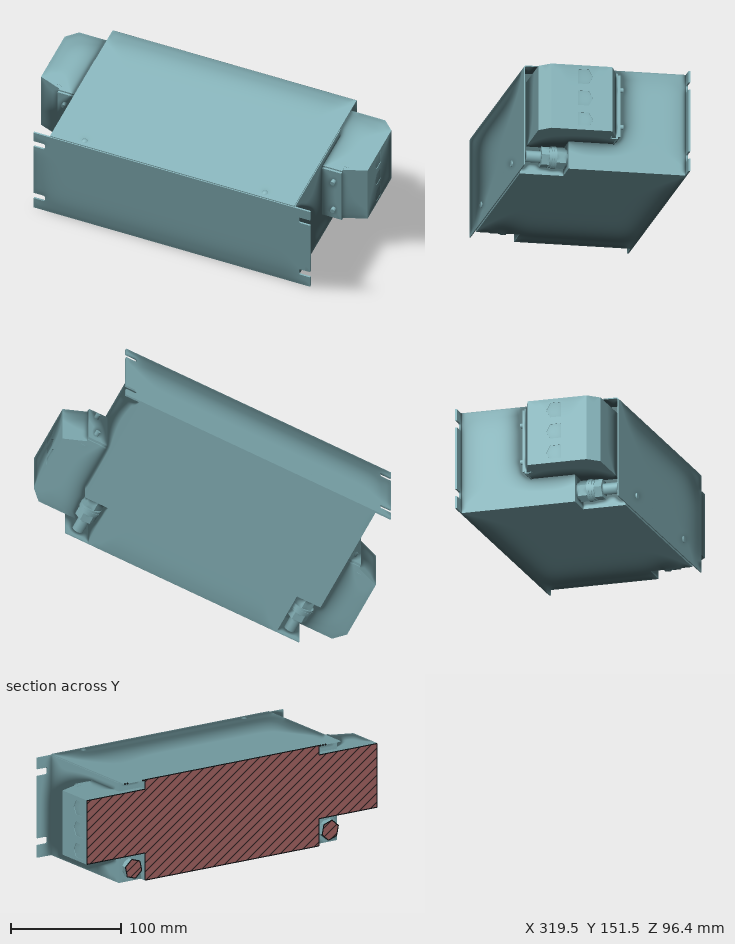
import cadquery as cq
import math


box_width = 240.0
box_height = 94.2
sheet = 1.0
depth = 150.3
cover_width = 238.6
cover_front = 0.9
cover_bend_radius = 2.0
cover_rear_bottom = 1.7
box_depth = depth - sheet
cover_top = box_height + sheet

plate_width = 270.4
plate_thickness = 1.6
slot_height = 6.6
slot_corner_radius = 1.5
slot_depth = 11.0
slot_heights = (15.0, 80.2)

recess_front = 109.2
recess_depth = 24.0
recess_wall_x = -box_width / 2 + recess_depth

outer_x = -319.5 / 2
block_count = 3
block_height = 20.2
block_bottom = 25.7
block_back = 143.4
block_back_chamfer = 10.0
block_front_corner = 77.2
block_front = 69.3
entry_depth = 0.5
entry_height = 13.6
entry_drop = 0.5
entry_back = 109.0
entry_shoulder = 98.8
entry_tip = 95.1
block_stack = block_count * block_height

rail_bottom = 25.0
rail_height = 61.6
rail_sheet = 0.9
rail_outer_x = -138.7
rail_lip_x = -142.7
rail_lip_back = 74.6
rail_front = 67.4
clamp_thickness = 2.0
clamp_margin = 1.2
clamp_front = rail_front - clamp_thickness
clamp_screw_diameter = 4.4
clamp_screw_length = 3.9
clamp_screw_x = -131.5
clamp_screw_heights = (38.5, 73.2)

stud_x = -box_width / 2 + recess_depth / 2
stud_z = 13.0
stud_diameter = 10.5
stud_end = 146.8
collar_diameter = 16.5
collar_length = 1.5
nut_across_flats = 16.7
inner_nut_length = 8.6
inner_nut_turn = 18.0
flat_washer_diameter = 20.6
flat_washer_thickness = 2.2
flat_washer_gap = 0.2
lock_washer_diameter = 18.8
lock_washer_thickness = 2.2
outer_nut_length = 7.2

screw_diameter = 5.8
screw_head_height = 1.17
top_screw_x = 88.2
top_screw_y = 7.0
rear_screw_x = 67.0
rear_screw_z = 17.3


def box(x_range, y_range, z_range):
    """Box between the given limits along each axis."""
    lows, highs = zip(x_range, y_range, z_range)
    sizes = [high - low for low, high in zip(lows, highs)]
    return cq.Workplane("XY").box(*sizes, centered=False).translate(lows)


def along_y(x, z, y_start):
    """Workplane facing +Y, with its origin at the given point."""
    return cq.Workplane(cq.Plane((x, y_start, z), (1, 0, 0), (0, 1, 0)))


def both_sides(shape):
    """The left-hand shape together with its mirror image."""
    return shape.union(shape.mirror("YZ"), clean=False)


def make_box():
    half = box_width / 2
    body = box((-half, half), (0, box_depth), (0, box_height))
    recess = box((-half, recess_wall_x), (recess_front, box_depth), (0, box_height))
    return body.cut(both_sides(recess))


def make_cover():
    half = cover_width / 2
    cover = box((-half, half), (cover_front, depth), (cover_rear_bottom, cover_top))
    cover = cover.edges(">Y and >Z").fillet(cover_bend_radius)
    inside = box((-half, half), (0, box_depth), (0, box_height))
    inside = inside.edges(">Y and >Z").fillet(cover_bend_radius - sheet)
    return cover.cut(inside)


def make_mounting_plate():
    half = plate_width / 2
    plate = box((-half, half), (0, plate_thickness), (0, box_height))
    for z in slot_heights:
        slot_z = (z - slot_height / 2, z + slot_height / 2)
        slot = box((-half, -half + slot_depth), (0, plate_thickness), slot_z)
        slot = slot.edges("|Y and >X").fillet(slot_corner_radius)
        plate = plate.cut(both_sides(slot))
    return plate


def make_terminal_block(bottom):
    outline = [
        (recess_wall_x, block_back),
        (outer_x + block_back_chamfer, block_back),
        (outer_x, block_back - block_back_chamfer),
        (outer_x, block_front_corner),
        (rail_outer_x, block_front),
        (rail_outer_x, rail_front),
        (recess_wall_x, rail_front),
    ]
    block = cq.Workplane("XY").workplane(offset=bottom).polyline(outline).close().extrude(block_height)
    middle = bottom + block_height / 2 - entry_drop
    low = middle - entry_height / 2
    high = middle + entry_height / 2
    entry_outline = [
        (entry_back, low),
        (entry_shoulder, low),
        (entry_tip, middle),
        (entry_shoulder, high),
        (entry_back, high),
    ]
    entry = cq.Workplane("YZ").workplane(offset=outer_x).polyline(entry_outline).close().extrude(entry_depth)
    return block.cut(entry)


def make_rail():
    inner_x = -box_width / 2
    outline = [
        (inner_x, rail_front),
        (rail_outer_x, rail_front),
        (rail_outer_x, rail_lip_back - rail_sheet),
        (rail_lip_x, rail_lip_back - rail_sheet),
        (rail_lip_x, rail_lip_back),
        (rail_outer_x + rail_sheet, rail_lip_back),
        (rail_outer_x + rail_sheet, rail_front + rail_sheet),
        (inner_x, rail_front + rail_sheet),
    ]
    rail = cq.Workplane("XY").workplane(offset=rail_bottom).polyline(outline).close().extrude(rail_height)
    clamp_z = (block_bottom + clamp_margin, block_bottom + block_stack - clamp_margin)
    rail = rail.union(box((rail_outer_x, inner_x), (clamp_front, rail_front), clamp_z))
    for z in clamp_screw_heights:
        screw = along_y(clamp_screw_x, z, clamp_front - clamp_screw_length)
        rail = rail.union(screw.circle(clamp_screw_diameter / 2).extrude(clamp_screw_length))
    return rail


def make_nut(y_start, length, turn):
    across_corners = nut_across_flats / math.cos(math.pi / 6)
    nut = along_y(stud_x, stud_z, y_start).polygon(6, across_corners).extrude(length)
    return nut.rotate((stud_x, 0, stud_z), (stud_x, 1, stud_z), turn)


def make_earth_stud():
    def disc(y_start, diameter, length):
        return along_y(stud_x, stud_z, y_start).circle(diameter / 2).extrude(length)

    stud = disc(recess_front, stud_diameter, stud_end - recess_front)
    stud = stud.union(disc(recess_front, collar_diameter, collar_length))
    y = recess_front + collar_length
    stud = stud.union(make_nut(y, inner_nut_length, inner_nut_turn))
    y += inner_nut_length
    washer_pair = 2 * flat_washer_thickness
    stud = stud.union(disc(y, lock_washer_diameter, washer_pair + lock_washer_thickness))
    washer_length = flat_washer_thickness - flat_washer_gap / 2
    stud = stud.union(disc(y, flat_washer_diameter, washer_length))
    stud = stud.union(disc(y + washer_pair - washer_length, flat_washer_diameter, washer_length))
    y += washer_pair + lock_washer_thickness
    return stud.union(make_nut(y, outer_nut_length, 0))


def make_domed_head():
    """Domed head standing on Z = 0."""
    radius = screw_diameter / 2
    sphere_radius = (radius**2 + screw_head_height**2) / (2 * screw_head_height)
    sphere = cq.Workplane("XY").sphere(sphere_radius)
    sphere = sphere.translate((0, 0, screw_head_height - sphere_radius))
    blank = cq.Workplane("XY").circle(screw_diameter).extrude(screw_head_height)
    return sphere.intersect(blank)


def make_cover_screws():
    top_screw = make_domed_head().translate((-top_screw_x, top_screw_y, cover_top))
    rear_screw = along_y(-rear_screw_x, rear_screw_z, depth)
    rear_screw = rear_screw.circle(screw_diameter / 2).extrude(screw_head_height)
    return both_sides(top_screw.union(rear_screw))


result = make_box().union(make_cover()).union(make_mounting_plate())
result = result.union(make_cover_screws()).union(both_sides(make_earth_stud()))
for index in range(block_count):
    block = make_terminal_block(block_bottom + index * block_height)
    result = result.union(both_sides(block), clean=False)
result = result.union(both_sides(make_rail()), clean=False)